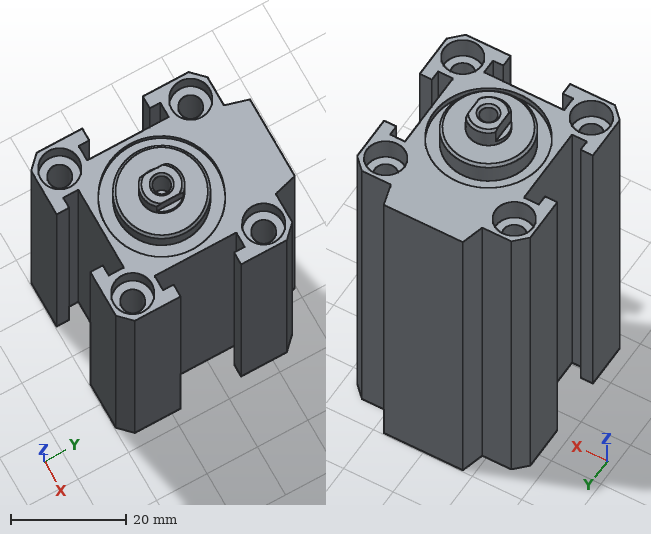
import cadquery as cq

TOTAL_HEIGHT = 71.0
ROD_PROJECTION = 6.95
BODY_HEIGHT = TOTAL_HEIGHT - ROD_PROJECTION

BODY_WIDTH = 35.0
TOTAL_DEPTH = 39.5
HALF_WIDTH = BODY_WIDTH / 2
RIDGE_TOP = TOTAL_DEPTH - HALF_WIDTH
CORNER_CHAMFER = 2.4
RIDGE_TOP_WIDTH = 16.0
RIDGE_BASE_WIDTH = 18.45

SLOT_OPENING = 12.0
SLOT_INNER_WIDTH = 16.2
SLOT_LIP = 2.5
SLOT_DEPTH = 5.5

HOLE_PITCH = 26.0
HOLE_DIAMETER = 4.3
COUNTERBORE_DIAMETER = 7.5
COUNTERBORE_DEPTH = 4.4

RECESS_DIAMETER = 22.0
RECESS_DEPTH = 1.3
COLLAR_DIAMETER = 17.0
COLLAR_PROJECTION = 3.0
COLLAR_TOP = BODY_HEIGHT + COLLAR_PROJECTION
EDGE_CHAMFER = 0.5

ROD_DIAMETER = 8.0
ROD_LENGTH = 28.4
ROD_BOTTOM = TOTAL_HEIGHT - ROD_LENGTH
FLATS_WIDTH = 6.0
FLATS_LENGTH = 3.05
ROD_HOLE_DIAMETER = 3.3
ROD_HOLE_MOUTH_DIAMETER = 4.2
ROD_HOLE_COUNTERSINK_DEPTH = 0.5
ROD_HOLE_DEPTH = 8.5


def cylinder(diameter, bottom, height):
    """Upright cylinder on the rod axis."""
    return cq.Workplane("XY").workplane(offset=bottom).circle(diameter / 2).extrude(height)


def t_slot():
    """Full-height T-slot cutter opening on the -Y side."""
    lip_inner = -HALF_WIDTH + SLOT_LIP
    slot_floor = -HALF_WIDTH + SLOT_DEPTH
    half_opening = SLOT_OPENING / 2
    half_inner = SLOT_INNER_WIDTH / 2
    return (
        cq.Workplane("XY")
        .moveTo(-half_opening, -HALF_WIDTH)
        .lineTo(-half_opening, lip_inner)
        .lineTo(-half_inner, lip_inner)
        .lineTo(-half_inner, slot_floor)
        .lineTo(half_inner, slot_floor)
        .lineTo(half_inner, lip_inner)
        .lineTo(half_opening, lip_inner)
        .lineTo(half_opening, -HALF_WIDTH)
        .close()
        .extrude(BODY_HEIGHT)
    )


def housing_profile():
    """Square column with chamfered corners and a tapered ridge on the +Y side."""
    column = (
        cq.Workplane("XY")
        .rect(BODY_WIDTH, BODY_WIDTH)
        .extrude(BODY_HEIGHT)
        .edges("|Z")
        .chamfer(CORNER_CHAMFER)
    )
    ridge = (
        cq.Workplane("XY")
        .polyline([
            (-RIDGE_BASE_WIDTH / 2, 0),
            (-RIDGE_BASE_WIDTH / 2, HALF_WIDTH),
            (-RIDGE_TOP_WIDTH / 2, RIDGE_TOP),
            (RIDGE_TOP_WIDTH / 2, RIDGE_TOP),
            (RIDGE_BASE_WIDTH / 2, HALF_WIDTH),
            (RIDGE_BASE_WIDTH / 2, 0),
        ])
        .close()
        .extrude(BODY_HEIGHT)
    )
    return column.union(ridge)


def make_housing():
    """Slotted housing with its collar and the bore that holds the rod."""
    body = housing_profile()
    for angle in (-90, 0, 90):
        body = body.cut(t_slot().rotate((0, 0, 0), (0, 0, 1), angle))
    body = (
        body.faces(">Z")
        .workplane(origin=(0, 0, BODY_HEIGHT))
        .rect(HOLE_PITCH, HOLE_PITCH, forConstruction=True)
        .vertices()
        .cboreHole(HOLE_DIAMETER, COUNTERBORE_DIAMETER, COUNTERBORE_DEPTH)
    )
    recess_floor = BODY_HEIGHT - RECESS_DEPTH
    body = body.cut(cylinder(RECESS_DIAMETER, recess_floor, RECESS_DEPTH))
    collar = cylinder(COLLAR_DIAMETER, recess_floor, COLLAR_TOP - recess_floor)
    body = body.union(collar.faces(">Z").chamfer(EDGE_CHAMFER))
    return body.cut(cylinder(ROD_DIAMETER, ROD_BOTTOM, ROD_LENGTH))


def make_rod():
    """Piston rod with two wrench flats and a countersunk blind hole in its end."""
    rod = cylinder(ROD_DIAMETER, ROD_BOTTOM, ROD_LENGTH).faces(">Z").chamfer(EDGE_CHAMFER)
    flats = (
        cq.Workplane("XY")
        .workplane(offset=TOTAL_HEIGHT - FLATS_LENGTH)
        .rect(2 * ROD_DIAMETER, 3 * ROD_DIAMETER)
        .rect(FLATS_WIDTH, 2 * ROD_DIAMETER)
        .extrude(FLATS_LENGTH)
    )
    rod = rod.cut(flats)
    rod = rod.cut(cylinder(ROD_HOLE_DIAMETER, TOTAL_HEIGHT - ROD_HOLE_DEPTH, ROD_HOLE_DEPTH))
    countersink = cq.Workplane("XY").add(
        cq.Solid.makeCone(
            ROD_HOLE_DIAMETER / 2,
            ROD_HOLE_MOUTH_DIAMETER / 2,
            ROD_HOLE_COUNTERSINK_DEPTH,
            pnt=cq.Vector(0, 0, TOTAL_HEIGHT - ROD_HOLE_COUNTERSINK_DEPTH),
        )
    )
    return rod.cut(countersink)


housing = make_housing()
rod = make_rod()
result = cq.Compound.makeCompound([housing.val(), rod.val()])